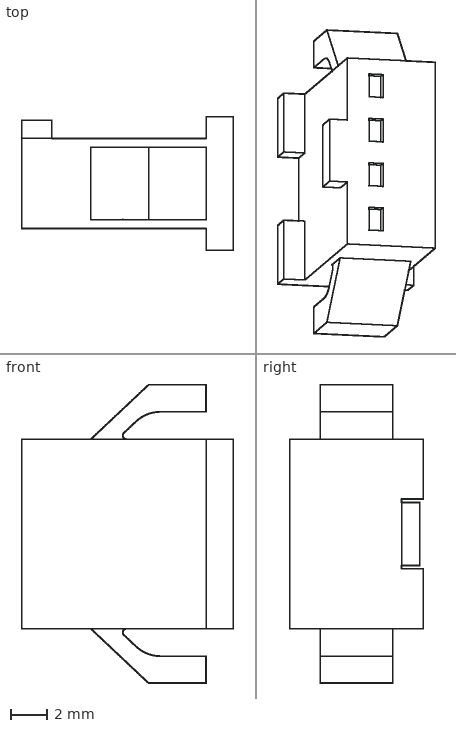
import cadquery as cq
import math

total_length = 11.7
total_width = 7.4
total_height = 16.5

flange_thickness = 1.5
body_length = total_length - flange_thickness
body_width = 5.0
body_height = 10.5
flange_overhang = (total_width - body_width) / 2
flange_notch_height = 3.85

tab_length = 1.67
tab_projection = 1.0
tab_height = 3.5

latch_width = 4.01
latch_root_x = 3.83
latch_knee_x = 7.01
latch_thickness = 1.5
latch_ramp_thickness = 1.0
latch_elbow_radius = 2.0
latch_root_radius = 0.2

contact_count = 4
contact_pitch = 2.5
contact_offset_y = 0.87
contact_width = 0.8
contact_height = 1.29
contact_depth = 0.5


def block(x_start, length, width, height, y_centre=0.0, z_centre=0.0):
    """Box starting at x_start, centred on the given Y and Z."""
    return cq.Workplane("XY").box(length, width, height, centered=(False, True, True)).translate(
        (x_start, y_centre, z_centre)
    )


def make_latch():
    """Upper latch arm: a sloped ramp ending in a straight grip."""
    base_z = body_height / 2
    top_z = total_height / 2
    grip_bottom_z = top_z - latch_thickness
    run = latch_knee_x - latch_root_x
    rise = top_z - base_z
    ramp_angle = math.atan2(rise, run)

    inner_root_x = latch_root_x + latch_ramp_thickness / math.sin(ramp_angle)
    inner_corner_x = inner_root_x + (grip_bottom_z - base_z) * run / rise

    elbow_tangent = latch_elbow_radius * math.tan(ramp_angle / 2)
    elbow_start = (inner_corner_x + elbow_tangent, grip_bottom_z)
    elbow_mid = (
        elbow_start[0] - latch_elbow_radius * math.sin(ramp_angle / 2),
        grip_bottom_z - latch_elbow_radius * (1 - math.cos(ramp_angle / 2)),
    )
    elbow_end = (
        inner_corner_x - elbow_tangent * math.cos(ramp_angle),
        grip_bottom_z - elbow_tangent * math.sin(ramp_angle),
    )
    root_tangent = latch_root_radius / math.tan(ramp_angle / 2)
    root_start = (
        inner_root_x + root_tangent * math.cos(ramp_angle),
        base_z + root_tangent * math.sin(ramp_angle),
    )
    root_end = (inner_root_x + root_tangent, base_z)
    root_mid = (
        root_end[0] - latch_root_radius * math.cos(ramp_angle / 2),
        base_z + latch_root_radius * (1 - math.sin(ramp_angle / 2)),
    )

    return (
        cq.Workplane("XZ")
        .moveTo(latch_root_x, base_z)
        .lineTo(latch_knee_x, top_z)
        .lineTo(body_length, top_z)
        .lineTo(body_length, grip_bottom_z)
        .lineTo(*elbow_start)
        .threePointArc(elbow_mid, elbow_end)
        .lineTo(*root_start)
        .threePointArc(root_mid, root_end)
        .close()
        .extrude(latch_width / 2, both=True)
    )


def make_flange():
    """Wide end flange with a notch through its +Y overhang."""
    flange = block(body_length, flange_thickness, total_width, body_height)
    notch_y = (body_width + flange_overhang) / 2
    notch = block(body_length, flange_thickness, flange_overhang, flange_notch_height, notch_y)
    return flange.cut(notch)


body = block(0, body_length, body_width, body_height)
tab = block(0, tab_length, tab_projection, tab_height, (body_width + tab_projection) / 2)
upper_latch = make_latch()
lower_latch = upper_latch.mirror("XY")

result = body.union(make_flange()).union(tab).union(upper_latch).union(lower_latch)

for index in range(contact_count):
    contact_z = (index - (contact_count - 1) / 2) * contact_pitch
    result = result.cut(
        block(0, contact_depth, contact_width, contact_height, contact_offset_y, contact_z)
    )